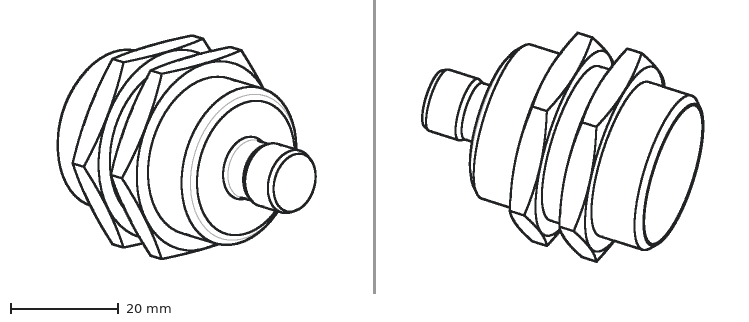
import cadquery as cq
import math

total_length = 48.5
body_length = 35.65
rear_bevel_start = 33.85
neck_end = 40.5
collar_start = 41.5
end_chamfer_start = 47.5

body_radius = 30.0 / 2
front_chamfer = 1.25
rear_bevel = 1.15
rear_steep_bevel_angle = 60

face_disc_radius = 26.9 / 2
face_groove_outer_radius = 27.1 / 2
face_groove_depth = 0.1

neck_radius = 11.0 / 2
collar_radius = 12.0 / 2
neck_flare_radius = 1.0
neck_flare_height = 0.45

nut_across_flats = 36.0
nut_thickness = 5.0
nut_starts = (10.0, 20.05)
nut_chamfer_radius = 17.95
nut_chamfer_angle = 20


def make_body():
    """Revolve the body and connector; the neck flare is an arc tangent to the neck."""
    steep_start = rear_bevel_start + rear_bevel
    steep_radius = body_radius - rear_bevel
    steep_drop = (body_length - steep_start) * math.tan(math.radians(rear_steep_bevel_angle))
    flare_angle = math.acos(1 - neck_flare_height / neck_flare_radius)
    flare_end = body_length + neck_flare_radius * math.sin(flare_angle)
    flare_middle = (
        flare_end - neck_flare_radius * math.sin(flare_angle / 2),
        neck_radius + neck_flare_radius * (1 - math.cos(flare_angle / 2)),
    )
    profile = (
        cq.Workplane("XY")
        .moveTo(0, 0)
        .lineTo(0, body_radius - front_chamfer)
        .lineTo(front_chamfer, body_radius)
        .lineTo(rear_bevel_start, body_radius)
        .lineTo(steep_start, steep_radius)
        .lineTo(body_length, steep_radius - steep_drop)
        .lineTo(body_length, neck_radius + neck_flare_height)
        .threePointArc(flare_middle, (flare_end, neck_radius))
        .lineTo(neck_end, neck_radius)
        .lineTo(collar_start, collar_radius)
        .lineTo(end_chamfer_start, collar_radius)
        .lineTo(total_length, neck_radius)
        .lineTo(total_length, 0)
        .close()
    )
    return profile.revolve(360, (0, 0, 0), (1, 0, 0))


def make_face_groove():
    """Shallow ring groove between the sensing disc and the front rim."""
    return (
        cq.Workplane("YZ")
        .circle(face_groove_outer_radius)
        .circle(face_disc_radius)
        .extrude(face_groove_depth)
    )


def make_nut(start):
    """Hexagonal nut with corners along Y and conical chamfers on both faces."""
    corner_radius = nut_across_flats / math.sqrt(3)
    chamfer_depth = (corner_radius - nut_chamfer_radius) * math.tan(math.radians(nut_chamfer_angle))
    end = start + nut_thickness
    hexagon = (
        cq.Workplane("YZ", origin=(start, 0, 0))
        .polygon(6, 2 * corner_radius)
        .extrude(nut_thickness)
    )
    chamfer_envelope = (
        cq.Workplane("XY")
        .moveTo(start, 0)
        .lineTo(start, nut_chamfer_radius)
        .lineTo(start + chamfer_depth, corner_radius)
        .lineTo(end - chamfer_depth, corner_radius)
        .lineTo(end, nut_chamfer_radius)
        .lineTo(end, 0)
        .close()
        .revolve(360, (0, 0, 0), (1, 0, 0))
    )
    return hexagon.intersect(chamfer_envelope)


result = make_body().cut(make_face_groove())
for nut_start in nut_starts:
    result = result.union(make_nut(nut_start))